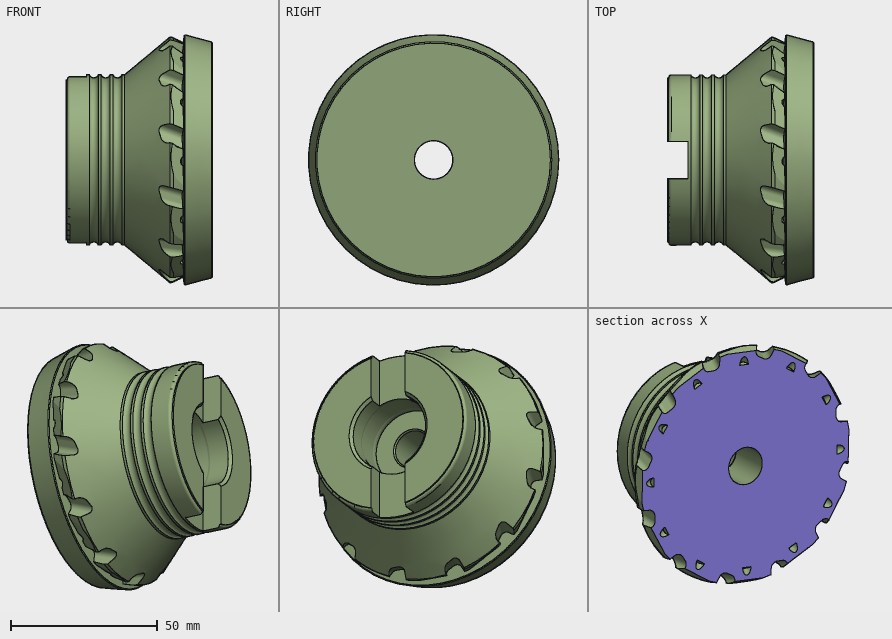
import cadquery as cq
import math


face_step_radius = 27.9
face_step_length = 0.5
nose_round = 1.0
shank_radius = 58 / 2
shank_length = 20.0

groove_count = 3
groove_radius = 3.3 / 2
groove_depth = 1.05
first_groove_x = 9.55
groove_pitch = 4.0

rim_radius = 41.8
rim_start = 35.4
rim_end = 36.6
back_taper = math.radians(15)

total_length = 49.99
flange_start = 40.3
flange_radius = 85.19 / 2
flange_face_cone = math.radians(8)
flange_edge = 0.3
flange_end_chamfer = 0.5

bore_radius = 27 / 2
relief_radius = 27.3 / 2
bore_depth = 20.0
relief_start = 8.0
relief_end = 17.9
relief_front_ramp = 0.7
relief_back_ramp = 0.9
bore_chamfer = 1.05
screw_hole_radius = 13 / 2
screw_hole_chamfer = 0.5
slot_width = 12.6
slot_depth = 7.0

tooth_count = 12
tooth_pitch = 360 / tooth_count
flute_width = 6.0
flute_height = 10.0
flute_corner_radius = 2.0
flute_helix = math.radians(15)
flute_start = 32.0
flute_floor_height = 36.8
flute_offset = 10.5
flute_half_length = 20.0
flute_angle = -3.0

seat_taper = math.radians(27.2)
seat_start = 35.8
seat_angle = 28.5
seat_size = 30.0
seat_height = 10.0
seat_hole_radius = 3.3 / 2
seat_hole_depth = 4.0
seat_hole_x = 40.5
seat_hole_offset = 1.5


def revolve_about_x(points):
    """Solid of revolution about X from an outline of (x, radius) points."""
    outline = cq.Workplane("XY").polyline(points).close()
    return outline.revolve(360, (0, 0, 0), (1, 0, 0))


def flange_face_x(radius):
    """X of the flange's hollow front cone at a given radius."""
    return flange_start - (flange_radius - radius) * math.tan(flange_face_cone)


def make_head():
    """Shank and flared head, up to the flange."""
    back_radius = rim_radius - (flange_start - rim_end) * math.tan(back_taper)
    head = revolve_about_x([
        (0, 0),
        (0, face_step_radius),
        (face_step_length, face_step_radius),
        (face_step_length, shank_radius),
        (shank_length, shank_radius),
        (rim_start, rim_radius),
        (rim_end, rim_radius),
        (flange_face_x(back_radius), back_radius),
        (flange_face_x(0), 0),
    ])
    step_face = cq.selectors.NearestToPointSelector((face_step_length, 0, 0))
    outer_edge = cq.selectors.RadiusNthSelector(-1)
    return head.faces(step_face).edges(outer_edge).fillet(nose_round)


def make_flange():
    """Back flange, tapering toward its rear face."""
    edge_radius = flange_radius - flange_edge
    taper_start = flange_start + flange_edge
    taper_end = total_length - flange_end_chamfer
    rear_radius = flange_radius - (taper_end - taper_start) * math.tan(back_taper)
    return revolve_about_x([
        (flange_face_x(0), 0),
        (flange_face_x(edge_radius), edge_radius),
        (taper_start, flange_radius),
        (taper_end, rear_radius),
        (total_length, rear_radius - flange_end_chamfer),
        (total_length, 0),
    ])


def make_groove(index):
    """One round-bottomed ring groove."""
    centre_x = first_groove_x + index * groove_pitch
    centre_radius = shank_radius - groove_depth + groove_radius
    section = cq.Workplane("XY").center(centre_x, centre_radius).circle(groove_radius)
    return section.revolve(360, (0, -centre_radius, 0), (1, -centre_radius, 0))


def make_bore():
    """Chamfered arbor bore with a shallow relief, and the screw hole behind it."""
    return revolve_about_x([
        (0, 0),
        (0, bore_radius + bore_chamfer),
        (bore_chamfer, bore_radius),
        (relief_start, bore_radius),
        (relief_start + relief_front_ramp, relief_radius),
        (relief_end, relief_radius),
        (relief_end + relief_back_ramp, bore_radius),
        (bore_depth, bore_radius),
        (bore_depth, screw_hole_radius + screw_hole_chamfer),
        (bore_depth + screw_hole_chamfer, screw_hole_radius),
        (total_length, screw_hole_radius),
        (total_length, 0),
    ])


def make_slot():
    """Drive slot across the clamping face, running along Z."""
    return cq.Workplane("XY").box(2 * slot_depth, slot_width, 4 * shank_radius)


def make_flute():
    """Round-cornered flute near the +Z axis, sloping inward and sideways toward the flange."""
    direction = cq.Vector(1, -math.tan(flute_helix), -math.tan(back_taper)).normalized()
    outward = cq.Vector(0, 0, 1)
    across = direction.cross(outward)
    wall_corner = cq.Vector(flute_start, -flute_offset, flute_floor_height)
    plane = cq.Plane(wall_corner, across, direction)
    centre = (flute_width / 2, -flute_height / 2)
    section = cq.Workplane(plane).center(*centre).rect(flute_width, flute_height)
    block = section.extrude(flute_half_length, both=True)
    return block.edges(cq.selectors.ParallelDirSelector(direction)).fillet(flute_corner_radius)


def make_seat():
    """Flat seat facing +Z, falling faster than the back taper, with a screw hole off its middle."""
    fall = math.tan(seat_taper)
    floor = cq.Plane((seat_start, 0, rim_radius), (1, 0, -fall), (fall, 0, 1))
    flat = cq.Workplane(floor).rect(seat_size, seat_size).extrude(seat_height)
    hole_distance = (seat_hole_x - seat_start) / math.cos(seat_taper)
    hole = cq.Workplane(floor).center(hole_distance, -seat_hole_offset).circle(seat_hole_radius)
    return flat.union(hole.extrude(-seat_hole_depth))


def around_axis(shape, angle):
    """Turn a shape from the +Z axis toward -Y about the X axis."""
    return shape.rotate((0, 0, 0), (1, 0, 0), angle)


head = make_head()
for tooth in range(tooth_count):
    head = head.cut(around_axis(make_flute(), flute_angle + tooth * tooth_pitch))
    head = head.cut(around_axis(make_seat(), seat_angle + tooth * tooth_pitch))

result = head.union(make_flange())
for groove_index in range(groove_count):
    result = result.cut(make_groove(groove_index))
result = result.cut(make_bore()).cut(make_slot())